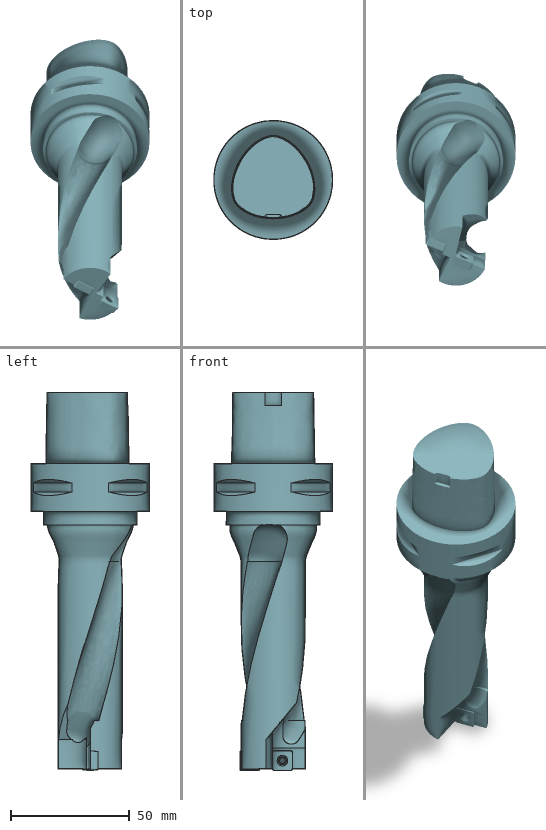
import cadquery as cq
import math

shank_top = 30.0
flange_bottom = -20.0
collar_bottom = -25.7
neck_top = -26.9
neck_bottom = -42.0
drill_end = -128.2
insert_end = -129.0

flange_radius = 50.0 / 2
collar_radius = 39.5 / 2
neck_radius = 36.5 / 2
drill_radius = 13.5
neck_curve = [(16.5, -32.6), (14.5, -37.4)]

shank_mean_radius = 17.5
shank_lobe_height = 1.2
shank_narrowing = 0.5
outline_points = 48
key_groove_width = 7.0
key_groove_depth = 1.4
key_groove_length = 5.5
key_groove_corner = 1.3

slot_count = 4
first_slot_angle = 45
slot_z = flange_bottom / 2
slot_depth = 2.8
slot_floor_height = 3.6
slot_mouth_height = 6.8

flute_count = 2
flute_radius = 7.6
flute_centre_radius = 12.0
flute_rate = 1.35
flute_low_z = -108.0
flute_high_z = -41.0
flute_low_angle = 160.6
flute_slope = flute_centre_radius * math.radians(flute_rate)
exit_radius = flute_radius * math.cos(math.atan(flute_slope))
tip_groove_radius = 6.3
tip_groove_start_z = -100.0
tip_groove_end = cq.Vector(-7.6, 5.2, -120.6 + tip_groove_radius)
exit_outward_slope = 0.55
exit_end_z = -32.0

insert_size = 8.4
insert_thickness = 3.3
insert_corner = 0.8
insert_clearance = 7.0
central_inner_x = -0.3
peripheral_outer_x = 14.0
peripheral_inner_x = peripheral_outer_x - insert_size
screw_head_diameter = 4.4
screw_hole_diameter = 3.2
thread_diameter = 2.5
thread_depth = 5.0

central_wall_x = -3.0
peripheral_wall_x = 2.0
pocket_wall_top = -116.0
pocket_tip_x = 10.6
pocket_tip_z = -99.5
pad_drop = 0.6
pad_top = -119.5
web_setback = 1.6
web_wall_x = 1.0
reach = 16.0


def shank():
    """Three-lobed polygon of constant width, narrowing upwards."""
    points = []
    taper = math.degrees(math.atan(shank_narrowing / shank_top))
    for i in range(outline_points):
        angle = 2 * math.pi * i / outline_points
        lobe = 3 * (angle - math.pi / 2)
        support = shank_mean_radius + shank_lobe_height * math.cos(lobe)
        slope = -3 * shank_lobe_height * math.sin(lobe)
        points.append((
            support * math.cos(angle) - slope * math.sin(angle),
            support * math.sin(angle) + slope * math.cos(angle),
        ))
    blank = cq.Workplane().spline(points, periodic=True).close().extrude(shank_top, taper=taper)
    face_y = -(shank_mean_radius - shank_lobe_height - shank_narrowing)
    groove_y = face_y + key_groove_depth
    groove = (
        cq.Workplane()
        .box(key_groove_width, 2 * shank_mean_radius, key_groove_length)
        .edges("|Z")
        .fillet(key_groove_corner)
        .translate((0, groove_y - shank_mean_radius, shank_top - key_groove_length / 2))
    )
    return blank.cut(groove)


def turned_body():
    """Flange, collar, curved neck and drill shaft as one turned shape."""
    return (
        cq.Workplane("XZ")
        .moveTo(0, 0)
        .lineTo(flange_radius, 0)
        .lineTo(flange_radius, flange_bottom)
        .lineTo(collar_radius, flange_bottom)
        .lineTo(collar_radius, collar_bottom)
        .lineTo(neck_radius, collar_bottom)
        .lineTo(neck_radius, neck_top)
        .spline(
            [*neck_curve, (drill_radius, neck_bottom)],
            tangents=[(0, -1), (0, -1)],
            includeCurrent=True,
        )
        .lineTo(drill_radius, drill_end)
        .lineTo(0, drill_end)
        .close()
        .revolve(360, (0, 0), (0, 1))
    )


def gripper_slot():
    """Flat-floored slot with flared sides, facing +X."""
    floor_x = flange_radius - slot_depth
    return (
        cq.Workplane("XZ", origin=(0, 0, slot_z))
        .polyline([
            (floor_x, -slot_floor_height / 2),
            (flange_radius, -slot_mouth_height / 2),
            (flange_radius, slot_mouth_height / 2),
            (floor_x, slot_floor_height / 2),
        ])
        .close()
        .extrude(flange_radius, both=True)
    )


def flute_point(z):
    """Centre of the twisted flute at the given height."""
    a = math.radians(flute_low_angle + flute_rate * (z - flute_low_z))
    return cq.Vector(flute_centre_radius * math.cos(a), flute_centre_radius * math.sin(a), z)


def runout(start, end, radius):
    """Straight round-ended groove leading out of the twisted flute."""
    travel = end - start
    groove = cq.Workplane(cq.Solid.makeCylinder(radius, travel.Length, start, travel))
    for centre in (start, end):
        groove = groove.union(cq.Workplane(origin=centre.toTuple()).sphere(radius))
    return groove


def flute():
    """Twisted groove with a straight runout at each end."""
    low = flute_point(flute_low_z)
    high = flute_point(flute_high_z)
    flute_height = flute_high_z - flute_low_z
    twisted = (
        cq.Workplane(origin=(0, 0, flute_low_z))
        .moveTo(low.x, low.y)
        .circle(flute_radius)
        .twistExtrude(flute_height, flute_rate * flute_height)
    )
    exit_rise = exit_end_z - flute_high_z
    exit_travel = cq.Vector(flute_slope * exit_rise, -exit_outward_slope * exit_rise, exit_rise)
    tip_groove = runout(flute_point(tip_groove_start_z), tip_groove_end, tip_groove_radius)
    exit_groove = runout(high, high + exit_travel, exit_radius)
    return [twisted, tip_groove, exit_groove]


def rake_plane(inner_x):
    """Plane of an insert's rake face, centred on the insert, with its normal along +Y."""
    centre = (inner_x + insert_size / 2, 0, insert_end + insert_size / 2)
    return cq.Workplane(cq.Plane(centre, (1, 0, 0), (0, 1, 0)))


def insert_blank(inner_x):
    """Square plate with its rake face towards -Y and flanks that slope inwards behind it."""
    return (
        rake_plane(inner_x)
        .sketch()
        .rect(insert_size, insert_size)
        .vertices()
        .fillet(insert_corner)
        .finalize()
        .extrude(insert_thickness, taper=insert_clearance)
    )


def insert(inner_x):
    """Insert plate with a countersunk screw hole."""
    hole = rake_plane(inner_x).circle(screw_hole_diameter / 2).extrude(insert_thickness)
    sink_depth = (screw_head_diameter - screw_hole_diameter) / 2
    sink = rake_plane(inner_x).circle(screw_head_diameter / 2).extrude(sink_depth, taper=45)
    return insert_blank(inner_x).cut(hole).cut(sink)


def insert_seat(inner_x):
    """Recess that fits an insert, with the hole for its screw."""
    thread = rake_plane(inner_x).circle(thread_diameter / 2).extrude(thread_depth)
    return insert_blank(inner_x).union(thread)


def chip_pocket(section, wall_x):
    """Pocket of the given XY section under a slanting roof that rises towards +X."""
    height = pocket_tip_z - insert_end
    column = cq.Workplane(origin=(0, 0, insert_end)).polyline(section).close().extrude(height)
    roof = (
        cq.Workplane("XZ")
        .polyline([
            (wall_x, insert_end),
            (wall_x, pocket_wall_top),
            (pocket_tip_x, pocket_tip_z),
            (reach, pocket_tip_z),
            (reach, insert_end),
        ])
        .close()
        .extrude(reach, both=True)
    )
    return column.intersect(roof)


def central_pocket():
    """Pocket whose flat floor drops to a lower pad beside the insert."""
    section = [
        (central_inner_x, 0),
        (central_wall_x, -drill_radius),
        (central_wall_x, -reach),
        (reach, -reach),
        (reach, 0),
    ]
    pad = cq.Workplane().box(reach, pad_drop, pad_top - insert_end, centered=False)
    return chip_pocket(section, central_wall_x).union(pad.translate((central_inner_x, 0, insert_end)))


def peripheral_pocket():
    """Pocket that steps back beside the insert to leave a web on the drill axis."""
    section = [
        (web_wall_x, -web_setback),
        (peripheral_wall_x, -drill_radius),
        (peripheral_wall_x, -reach),
        (reach, -reach),
        (reach, 0),
        (peripheral_inner_x, 0),
        (peripheral_inner_x, -web_setback),
    ]
    return chip_pocket(section, peripheral_wall_x)


def opposite(shape):
    """Half a turn about the drill axis."""
    return shape.rotate((0, 0, 0), (0, 0, 1), 180)


central_insert = insert(central_inner_x)
peripheral_insert = opposite(insert(peripheral_inner_x))

body = turned_body().union(shank())
for i in range(slot_count):
    body = body.cut(gripper_slot().rotate((0, 0, 0), (0, 0, 1), first_slot_angle + i * 360 / slot_count))
for i in range(flute_count):
    for piece in flute():
        body = body.cut(piece.rotate((0, 0, 0), (0, 0, 1), i * 360 / flute_count))
body = body.cut(central_pocket()).cut(opposite(peripheral_pocket()))
body = body.cut(insert_seat(central_inner_x)).cut(opposite(insert_seat(peripheral_inner_x)))

result = cq.Compound.makeCompound([body.val(), central_insert.val(), peripheral_insert.val()])